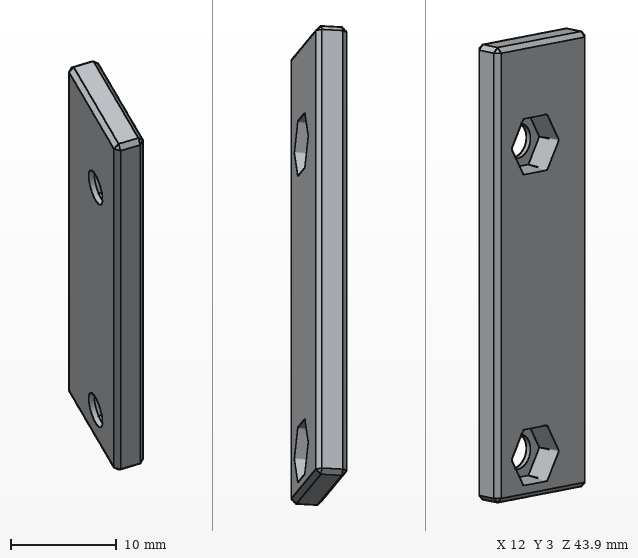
import cadquery as cq
import math

width = 12.0
thickness = 3.0
length = 43.9
edge_chamfer = 0.5

hole_diameter = 3.4
hole_offset_x = 1.0
hole_spacing = 30.0
lower_hole_to_end = 4.0

floor_across_flats = 4.95
pocket_floor_thickness = 0.55
pocket_draft = 5.0

lower_hole_z = lower_hole_to_end - length / 2
upper_hole_z = lower_hole_z + hole_spacing
hole_centres = [(hole_offset_x, lower_hole_z), (hole_offset_x, upper_hole_z)]

floor_across_corners = floor_across_flats / math.cos(math.pi / 6)
front_y = -thickness / 2
pocket_floor_y = front_y + pocket_floor_thickness


def centres_at(y):
    """Hole centres in the XZ plane at the given Y; the plane's normal points to -Y."""
    return cq.Workplane("XZ", origin=(0, y, 0)).pushPoints(hole_centres)


def chamfered_plate():
    """Flat bar with every outer edge chamfered."""
    return cq.Workplane("XY").box(width, thickness, length).edges().chamfer(edge_chamfer)


def screw_holes():
    """Cylinders through the full thickness."""
    return centres_at(front_y).circle(hole_diameter / 2).extrude(-thickness)


def nut_pockets():
    """Drafted hexagons with corners towards -X and +X and flats towards -Z and +Z."""
    pocket_depth = thickness - pocket_floor_thickness
    floors = centres_at(pocket_floor_y).polygon(6, floor_across_corners)
    return floors.extrude(-pocket_depth, taper=-pocket_draft)


result = chamfered_plate().cut(screw_holes()).cut(nut_pockets())